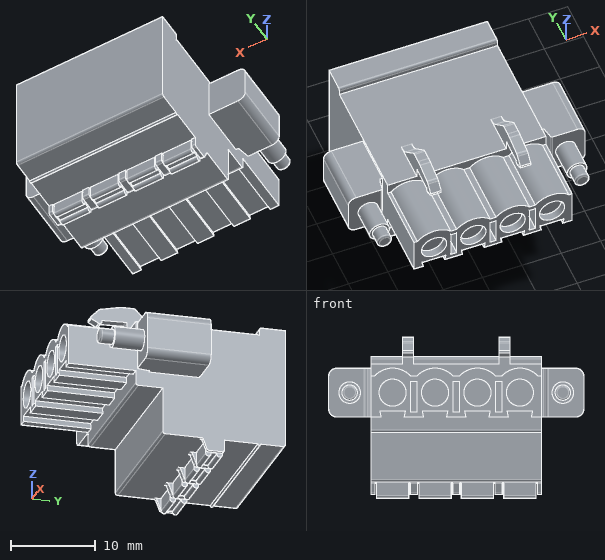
import cadquery as cq


pole_count = 4
pole_pitch = 5.0
pole_xs = [(i - (pole_count - 1) / 2) * pole_pitch for i in range(pole_count)]
gap_xs = [x + pole_pitch / 2 for x in pole_xs[:-1]]

housing_width = 20.1
housing_depth = 18.35
roof_z = 13.88
rear_lip_height = 0.9
rear_lip_depth = 3.22
step_setback = 3.3
step_z = 5.78
housing_round = 0.3
ridge_y = 15.15
ridge_radius = 0.18

socket_length = 8.25
socket_radius = 2.9
socket_axis_z = 10.5
socket_valley_z = 12.45
hole_diameter = 3.2
hole_depth = 1.0
slot_width = 0.75
slot_bottom_z = 8.25
slot_top_z = 11.8
notch_height = 0.72
notch_top_width = 3.0
notch_mouth_width = 2.7

hook_spacing = 11.38
hook_width = 1.32
hook_sink = 0.3
hook_top_z = 17.05
hook_back_y = 4.1
hook_root_radius = 1.85
hook_brow_y = -0.72
hook_brow_radius = 2.7
hook_nose_y = -3.4
hook_nose_z = 16.45
hook_tip_y = -4.4
hook_underside_z = 15.17
hook_nub_back_y = -3.07
hook_nub_back_z = 15.08
hook_nub_front_y = -3.45
hook_nub_bottom_z = 14.7
hook_heel_radius = 0.45
hook_nose_radius = 0.65
hook_nub_radius = 0.25
hook_crook_radius = 0.15

overall_width = 30.1
ear_depth = 7.8
ear_corner_radius = 1.0
relief_depth = 1.6
relief_inner_width = 0.35
relief_mouth_width = 0.7
relief_round = 0.15
pin_x = 12.55
pin_diameter = 2.53
pin_length = 3.6
pin_tip_diameter = 1.8
pin_tip_length = 1.7
pin_tip_round = 0.2

foot_rear_y = 10.9
foot_front_y = 8.22
foot_height = 1.5
foot_taper = 0.57
foot_round = 0.27
lever_width = 3.82
lever_gap = 0.15
lever_rear_y = 10.8
lever_front_y = 8.75
nub_radius = 0.33
nub_drop = 0.45


def extrude_across(profile, width):
    """Extrude a closed YZ profile along X, centred on X = 0."""
    return profile.extrude(width).translate((-width / 2, 0, 0))


def box_between(x_min, x_max, y_min, y_max, z_min, z_max):
    return (
        cq.Workplane("XY")
        .box(x_max - x_min, y_max - y_min, z_max - z_min, centered=False)
        .translate((x_min, y_min, z_min))
    )


def rod_forward(x, z, diameter, y_start, length):
    """Cylinder running towards -Y from y_start."""
    return (
        cq.Workplane("XZ", origin=(x, y_start, z))
        .circle(diameter / 2)
        .extrude(length)
    )


def round_edges_at(solid, points, radius):
    """Fillet the edges along X that pass through the given (y, z) points, in order."""
    for y, z in points:
        solid = solid.edges(cq.selectors.NearestToPointSelector((0, y, z))).fillet(radius)
    return solid


def make_housing():
    """Stepped housing with a rear lip, a ridge underneath and a ribbed foot."""
    lip_top_z = roof_z + rear_lip_height
    lip_front_y = housing_depth - rear_lip_depth
    outline = cq.Workplane("YZ").polyline([
        (0, roof_z),
        (lip_front_y, roof_z),
        (lip_front_y, lip_top_z),
        (housing_depth, lip_top_z),
        (housing_depth, 0),
        (foot_rear_y, 0),
        (foot_rear_y, -foot_height),
        (foot_front_y + foot_taper, -foot_height),
        (foot_front_y, 0),
        (step_setback, 0),
        (step_setback, step_z),
        (0, step_z),
    ]).close()
    rounded_corners = [
        (lip_front_y, lip_top_z),
        (housing_depth, 0),
        (step_setback, 0),
        (0, step_z),
    ]
    foot_corners = [
        (foot_rear_y, -foot_height),
        (foot_front_y + foot_taper, -foot_height),
        (foot_front_y, 0),
    ]
    housing = extrude_across(outline, housing_width)
    housing = round_edges_at(housing, rounded_corners, housing_round)
    housing = round_edges_at(housing, foot_corners, foot_round)

    half_bay = lever_width / 2 + lever_gap
    for x in pole_xs:
        housing = housing.cut(box_between(
            x - half_bay, x + half_bay, step_setback, foot_rear_y, -foot_height, 0
        ))
    ridge = cq.Workplane("YZ").center(ridge_y, 0).circle(ridge_radius)
    return housing.union(extrude_across(ridge, housing_width))


def make_socket_block():
    """Row of round-topped sockets with blind holes, parting slots and keying notches."""
    bottom_z = socket_axis_z - socket_radius
    half_width = housing_width / 2
    block = box_between(
        -half_width, half_width, -socket_length, 0, bottom_z, socket_valley_z
    )
    envelope = box_between(
        -half_width, half_width, -socket_length, 0, bottom_z, bottom_z + 2 * socket_radius
    )
    for x in pole_xs:
        block = block.union(
            rod_forward(x, socket_axis_z, 2 * socket_radius, 0, socket_length)
        )
    block = block.intersect(envelope)
    for x in pole_xs:
        block = block.cut(
            rod_forward(x, socket_axis_z, hole_diameter, hole_depth - socket_length, hole_depth)
        )
        notch = (
            cq.Workplane("XZ", origin=(x, 0, bottom_z))
            .polyline([
                (-notch_mouth_width / 2, 0),
                (notch_mouth_width / 2, 0),
                (notch_top_width / 2, notch_height),
                (-notch_top_width / 2, notch_height),
            ])
            .close()
            .extrude(socket_length)
        )
        block = block.cut(notch)
    for x in gap_xs:
        block = block.cut(box_between(
            x - slot_width / 2, x + slot_width / 2, -socket_length, 0, slot_bottom_z, slot_top_z
        ))
    return block


def make_hook(x):
    """Latch hook rising from the roof and reaching forward over the socket block."""
    slope_top_y = hook_back_y - (hook_top_z - roof_z)
    tip_z = hook_nose_z - (hook_nose_y - hook_tip_y)
    rear_y = hook_back_y + hook_root_radius
    sunk_z = roof_z - hook_sink
    hook = extrude_across(
        cq.Workplane("YZ").polyline([
            (0, sunk_z),
            (rear_y, sunk_z),
            (rear_y, roof_z),
            (hook_back_y, roof_z),
            (slope_top_y, hook_top_z),
            (hook_brow_y, hook_top_z),
            (hook_nose_y, hook_nose_z),
            (hook_tip_y, tip_z),
            (hook_tip_y, hook_underside_z),
            (hook_nub_front_y, hook_nub_bottom_z),
            (hook_nub_back_y, hook_nub_bottom_z),
            (hook_nub_back_y, hook_nub_back_z),
            (0, hook_underside_z),
        ]).close(),
        hook_width,
    )
    hook = round_edges_at(hook, [(hook_back_y, roof_z)], hook_root_radius)
    hook = round_edges_at(hook, [(hook_brow_y, hook_top_z)], hook_brow_radius)
    hook = round_edges_at(hook, [(slope_top_y, hook_top_z)], hook_heel_radius)
    hook = round_edges_at(hook, [(hook_nose_y, hook_nose_z)], hook_nose_radius)
    hook = round_edges_at(hook, [(hook_nub_back_y, hook_nub_bottom_z)], hook_nub_radius)
    hook = round_edges_at(hook, [(0, hook_underside_z)], hook_crook_radius)
    return hook.translate((x, 0, 0))


def make_right_ear():
    """Ear on the +X side, with a relief beside the housing and a stepped pin in front."""
    inner_x = housing_width / 2
    ear = box_between(
        inner_x, overall_width / 2, 0, ear_depth,
        socket_axis_z - socket_radius, socket_axis_z + socket_radius,
    )
    ear = ear.faces(">X").edges("|Y").fillet(ear_corner_radius)

    relief = (
        cq.Workplane("XY")
        .polyline([
            (inner_x, 0),
            (inner_x + relief_mouth_width, 0),
            (inner_x + relief_inner_width, relief_depth),
            (inner_x, relief_depth),
        ])
        .close()
        .extrude(roof_z)
    )
    ear = ear.cut(relief)
    for x, y in [
        (inner_x + relief_mouth_width, 0),
        (inner_x + relief_inner_width, relief_depth),
    ]:
        corner = cq.selectors.NearestToPointSelector((x, y, socket_axis_z))
        ear = ear.edges(corner).fillet(relief_round)

    pin = rod_forward(pin_x, socket_axis_z, pin_diameter, 0, pin_length)
    tip = rod_forward(pin_x, socket_axis_z, pin_tip_diameter, -pin_length, pin_tip_length)
    tip = tip.faces("<Y").edges().fillet(pin_tip_round)
    return ear.union(pin).union(tip)


def make_lever(x):
    """Release lever end: a block with two rounded nubs along its underside."""
    lever = box_between(
        -lever_width / 2, lever_width / 2, lever_front_y, lever_rear_y, -foot_height, 0
    )
    for y in (lever_front_y + nub_radius, lever_rear_y - nub_radius):
        nub_center_z = nub_radius - foot_height - nub_drop
        nub = cq.Workplane("YZ").center(y, nub_center_z).circle(nub_radius)
        stem = box_between(
            -lever_width / 2, lever_width / 2,
            y - nub_radius, y + nub_radius, nub_center_z, -foot_height,
        )
        lever = lever.union(extrude_across(nub, lever_width)).union(stem)
    return lever.translate((x, 0, 0))


right_ear = make_right_ear()
added_parts = [make_socket_block(), right_ear, right_ear.mirror("YZ")]
added_parts += [make_hook(x) for x in (-hook_spacing / 2, hook_spacing / 2)]
added_parts += [make_lever(x) for x in pole_xs]

result = make_housing()
for added_part in added_parts:
    result = result.union(added_part, clean=False)
result = result.clean()